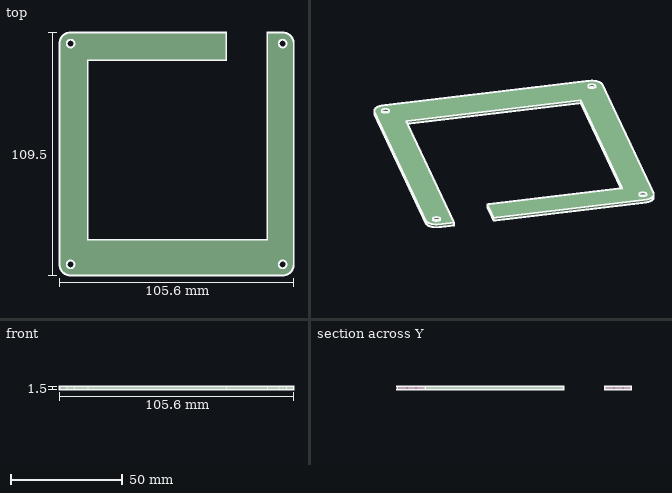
import cadquery as cq

width = 105.6
length = 109.5
thickness = 1.5
corner_radius = 5.0

hole_diameter = 3.4
hole_inset = corner_radius

window_size = 80.7
left_rail = 12.8
back_rail = 12.6

gap_width = 18.3

window_left = -width / 2 + left_rail
window_right = window_left + window_size
window_back = length / 2 - back_rail
window_front = window_back - window_size


def cutter(x_min, x_max, y_min, y_max):
    """Rectangular block through the full plate thickness."""
    block = cq.Workplane("XY").box(x_max - x_min, y_max - y_min, thickness, centered=False)
    return block.translate((x_min, y_min, 0))


plate = (
    cq.Workplane("XY")
    .box(width, length, thickness, centered=(True, True, False))
    .edges("|Z")
    .fillet(corner_radius)
)

plate = (
    plate.faces(">Z")
    .workplane(origin=(0, 0, thickness))
    .rect(width - 2 * hole_inset, length - 2 * hole_inset, forConstruction=True)
    .vertices()
    .hole(hole_diameter)
)

window = cutter(window_left, window_right, window_front, window_back)
gap = cutter(window_right - gap_width, window_right, window_back, length / 2)

result = plate.cut(window).cut(gap)